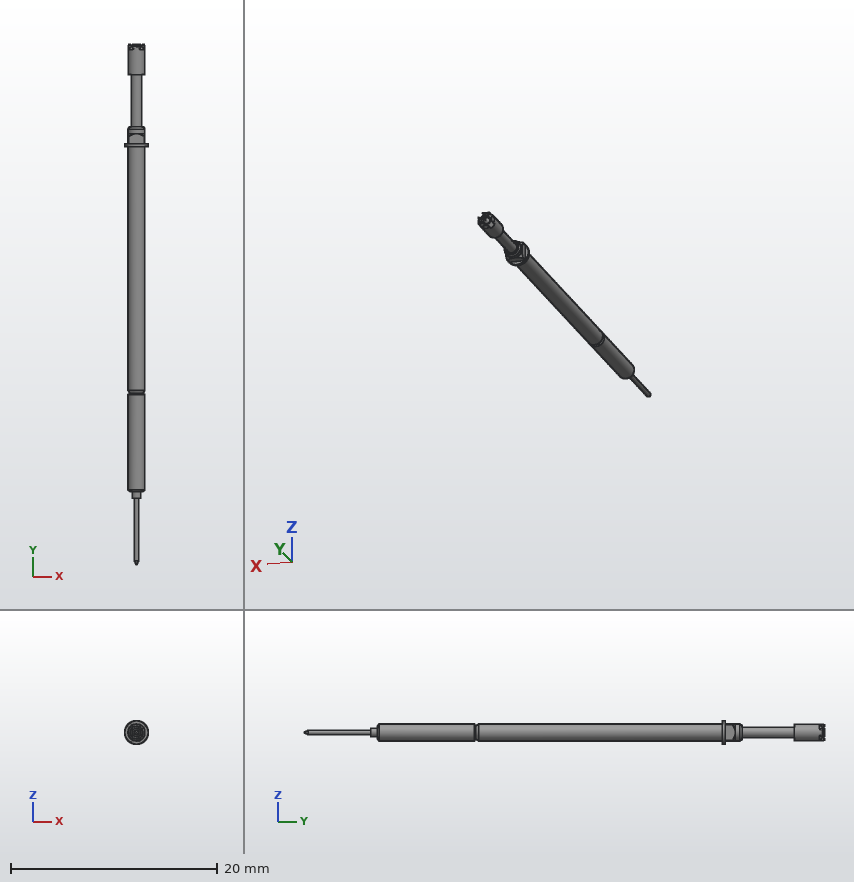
import cadquery as cq
import math

overall_length = 50.5
tip_y = overall_length / 2

head_diameter = 1.62
shaft_diameter = 1.05
body_diameter = 1.65
flange_diameter = 2.3
square_corner_diameter = 2.26
tail_collar_diameter = 0.85
tail_pin_diameter = 0.44
point_diameter = 0.06

head_end = 2.95
body_start = 8.02
square_cone_start = 8.68
square_full_size = 8.95
flange_start = 9.65
flange_end = 9.95
groove_start = 33.55
groove_bottom = 33.87
groove_end = 34.0
body_end = 43.4
tail_collar_end = 44.05
pin_point_start = 50.1

body_mouth_chamfer_length = 0.23
body_mouth_chamfer_depth = 0.14
body_end_chamfer_length = 0.17
body_end_chamfer_depth = 0.2
square_across_flats = body_diameter
groove_depth = 0.16

notch_count = 8
notch_width = 0.55
shallow_notch_depth = 0.2
deep_notch_depth = 0.55
notch_floor_angle = 40
valley_floor_diameter = 0.64
valley_rim_diameter = 1.3
valley_depth = 0.3
cut_clearance = 0.5


def turned(points):
    """Solid of revolution about Y through (station, diameter) points."""
    profile = [(diameter / 2, tip_y - station) for station, diameter in points]
    first_y = profile[0][1]
    last_y = profile[-1][1]
    outline = [(0, first_y)] + profile + [(0, last_y)]
    return cq.Workplane("XY").polyline(outline).close().revolve(axisStart=(0, 0, 0), axisEnd=(0, 1, 0))


def plunger():
    """Shaft and head; a ring valley in the head's end face leaves a central point."""
    return turned([
        (0, point_diameter),
        (valley_depth, valley_floor_diameter),
        (0, valley_rim_diameter),
        (0, head_diameter),
        (head_end, head_diameter),
        (head_end, shaft_diameter),
        (body_start, shaft_diameter),
    ])


def body():
    """Tube with a chamfered mouth, a crimp groove with a steep rear side and a chamfered rear end."""
    mouth_diameter = body_diameter - 2 * body_mouth_chamfer_depth
    end_diameter = body_diameter - 2 * body_end_chamfer_depth
    return turned([
        (body_start, mouth_diameter),
        (body_start + body_mouth_chamfer_length, body_diameter),
        (groove_start, body_diameter),
        (groove_bottom, body_diameter - 2 * groove_depth),
        (groove_end, body_diameter),
        (body_end - body_end_chamfer_length, body_diameter),
        (body_end, end_diameter),
    ])


def flange():
    return turned([(flange_start, flange_diameter), (flange_end, flange_diameter)])


def square_section():
    """Square collar whose corners are turned and tapered towards the head."""
    turned_blank = turned([
        (square_cone_start, body_diameter),
        (square_full_size, square_corner_diameter),
        (flange_start, square_corner_diameter),
    ])
    length = flange_start - square_cone_start
    center_y = tip_y - (square_cone_start + flange_start) / 2
    square_bar = cq.Workplane("XY").box(square_across_flats, length, square_across_flats)
    return turned_blank.intersect(square_bar.translate((0, center_y, 0)))


def tail():
    return turned([
        (body_end, tail_collar_diameter),
        (tail_collar_end, tail_collar_diameter),
        (tail_collar_end, tail_pin_diameter),
        (pin_point_start, tail_pin_diameter),
        (overall_length, point_diameter),
    ])


def crown_notch(depth, angle):
    """Radial slot cutter whose floor falls outward to the rim."""
    rim_radius = head_diameter / 2
    outer_radius = rim_radius + cut_clearance
    floor_slope = math.tan(math.radians(notch_floor_angle))
    outer_depth = depth + cut_clearance * floor_slope
    inner_radius = rim_radius - depth / floor_slope
    outline = [
        (inner_radius, tip_y),
        (outer_radius, tip_y - outer_depth),
        (outer_radius, tip_y + cut_clearance),
        (inner_radius, tip_y + cut_clearance),
    ]
    slot = cq.Workplane("XY").polyline(outline).close().extrude(notch_width / 2, both=True)
    return slot.rotate((0, 0, 0), (0, 1, 0), angle)


result = plunger().union(body()).union(square_section()).union(flange()).union(tail())
for index in range(notch_count):
    notch_depth = deep_notch_depth if index % 2 else shallow_notch_depth
    result = result.cut(crown_notch(notch_depth, index * 360 / notch_count))